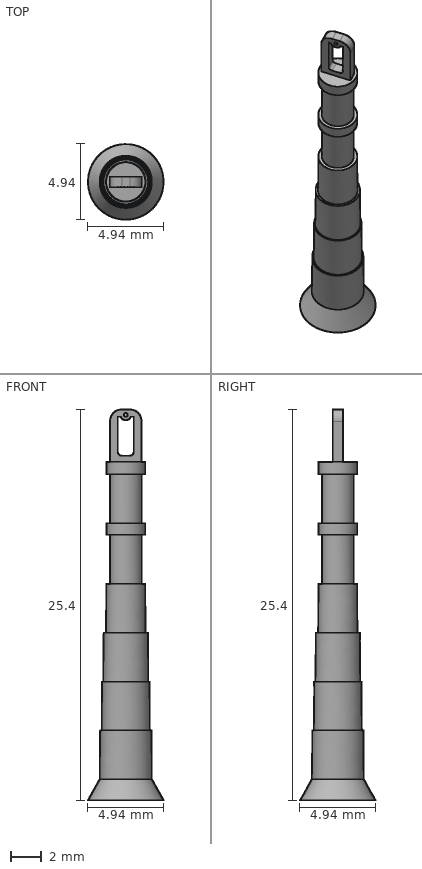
import cadquery as cq

total_height = 25.45
flare_radius = 2.47
flare_height = 1.37
section_pitch = 3.18
section_radii = [(1.7, 1.68), (1.58, 1.55), (1.48, 1.45), (1.3, 1.27)]

shaft_radius = 1.05
collar_radius = 1.27
lower_collar_height = 0.76
upper_collar_height = 0.81
upper_collar_top = 22.03

eye_width = 2.05
eye_thickness = 0.69
eye_corner_radius = 0.76
slot_width = 1.02
slot_bottom = 22.45
slot_top = 24.95
slot_corner_radius = 0.23
boss_radius = 0.35
boss_center = 25.08
pin_hole_radius = 0.115


def cylinder(radius, bottom, height):
    return cq.Workplane("XY").workplane(offset=bottom).circle(radius).extrude(height)


def upright_plane(z):
    """XZ work plane whose origin lies on the axis at height z."""
    return cq.Workplane("XZ", origin=(0, 0, z))


def make_body():
    outline = [(0, 0), (flare_radius, 0)]
    bottom = flare_height
    for bottom_radius, top_radius in section_radii:
        top = bottom + section_pitch
        outline += [(bottom_radius, bottom), (top_radius, top)]
        bottom = top
    outline.append((0, bottom))
    body = cq.Workplane("XZ").polyline(outline).close().revolve(360, (0, 0), (0, 1))

    body = body.union(cylinder(shaft_radius, bottom, upper_collar_top - bottom))
    body = body.union(cylinder(collar_radius, bottom + section_pitch, lower_collar_height))
    upper_collar_bottom = upper_collar_top - upper_collar_height
    return body.union(cylinder(collar_radius, upper_collar_bottom, upper_collar_height))


def make_eye():
    eye_height = total_height - upper_collar_top
    plate = (
        cq.Workplane("XY")
        .workplane(offset=upper_collar_top)
        .box(eye_width, eye_thickness, eye_height, centered=(True, True, False))
        .edges("|Y and >Z")
        .fillet(eye_corner_radius)
    )
    slot = (
        cq.Workplane("XY")
        .workplane(offset=slot_bottom)
        .box(slot_width, eye_thickness, slot_top - slot_bottom, centered=(True, True, False))
        .edges("|Y and <Z")
        .fillet(slot_corner_radius)
    )
    half_thickness = eye_thickness / 2
    boss = upright_plane(boss_center).circle(boss_radius).extrude(half_thickness, both=True)
    pin_hole = upright_plane(boss_center).circle(pin_hole_radius).extrude(half_thickness, both=True)
    return plate.cut(slot).union(boss).cut(pin_hole)


result = make_body().union(make_eye())